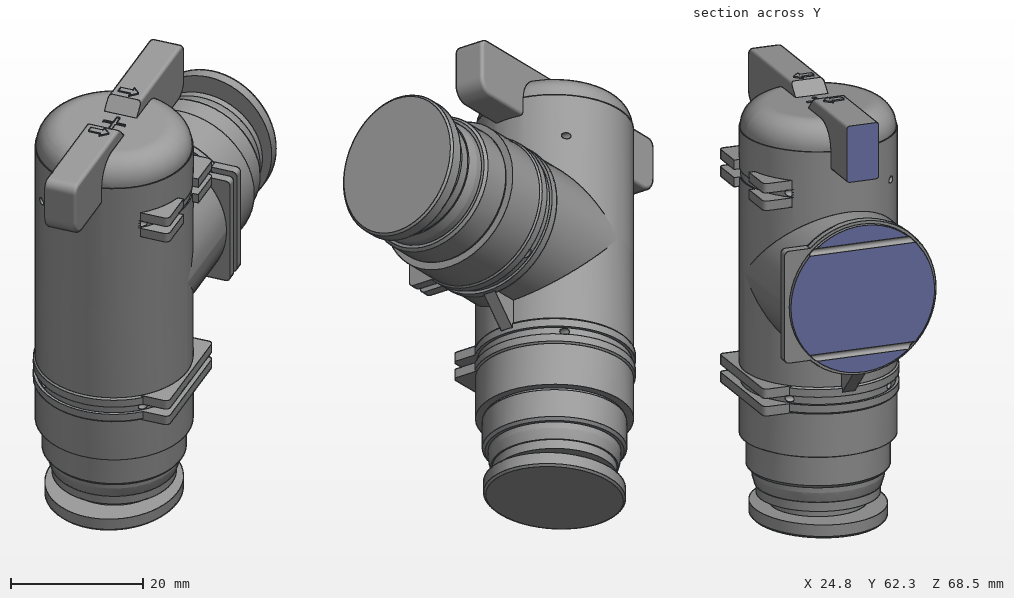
import cadquery as cq
import math


barrel_radius = 12.0
port_reach = 40.3
barrel_from_end = 13.3

button_half_width = 10.35
button_half_length = 11.5
button_thickness = 2.2
button_chamfer = 0.35
neck_radius = 7.5
sleeve_radius = 9.45
sleeve_from_end = 3.7
shoulder_start_radius = 9.65
shoulder_radius = 10.1
shoulder_from_end = 5.2
shoulder_straight_from_end = 6.85
shoulder_bulge = 0.1
collar_radius = 10.95
collar_from_end = 7.9
collar_chamfer_depth = 0.4
collar_chamfer_length = 0.5
collar_relief_depth = 0.2
collar_relief_length = 0.4

seat_distance = 17.95
seat_length = 4.3
groove_width = 1.3
groove_radius = 11.8
ring_radius = 12.25
ring_chamfer = 0.3
tab_reach = 12.55
tab_half_width = 9.0
tab_corner_radius = 0.75
upper_seat_z = 15.0
upper_notch_half_width = 3.0

pin_diameter = 1.0
pin_offset = 8.5
pin_core_radius = 10.3

cap_radius = 11.85
cap_base_z = 21.9
cap_top_z = 26.0
cap_round = 4.05

handle_width = 5.3
handle_half_length = 22.0
handle_bottom_z = 18.9
handle_top_z = 28.0
handle_inner_y = 2.55
handle_top_corner = 1.4
handle_bottom_corner = 2.55
handle_edge_round = 0.55

arrow_height = 0.2
arrow_length = 3.15
arrow_head_length = 1.15
arrow_head_half_width = 1.15
arrow_shaft_half_width = 0.5
arrow_y = 6.0
cross_length = 3.55
cross_width = 0.55
cross_depth = 0.2

web_thickness = 2.05
web_embed = 0.9
web_diagonal = 28.9


def make_port_and_barrel():
    """Barrel with its stepped port at the lower end, reaching up to the origin."""
    relief_end = barrel_from_end - collar_relief_length
    collar_chamfer_radius = collar_radius - collar_chamfer_depth
    shoulder_mid = (
        (shoulder_start_radius + shoulder_radius) / 2 + shoulder_bulge,
        (shoulder_from_end + shoulder_straight_from_end) / 2 - port_reach,
    )

    def at(radius, from_end):
        return (radius, from_end - port_reach)

    profile = (
        cq.Workplane("XZ")
        .moveTo(*at(0, button_thickness / 2))
        .lineTo(*at(neck_radius, button_thickness / 2))
        .lineTo(*at(neck_radius, sleeve_from_end))
        .lineTo(*at(sleeve_radius, sleeve_from_end))
        .lineTo(*at(sleeve_radius, shoulder_from_end))
        .lineTo(*at(shoulder_start_radius, shoulder_from_end))
        .threePointArc(shoulder_mid, at(shoulder_radius, shoulder_straight_from_end))
        .lineTo(*at(shoulder_radius, collar_from_end))
        .lineTo(*at(collar_chamfer_radius, collar_from_end))
        .lineTo(*at(collar_radius, collar_from_end + collar_chamfer_length))
        .lineTo(*at(collar_radius, relief_end))
        .lineTo(*at(collar_radius - collar_relief_depth, barrel_from_end))
        .lineTo(*at(barrel_radius, barrel_from_end))
        .lineTo(barrel_radius, 0)
        .lineTo(0, 0)
        .close()
    )
    barrel = profile.revolve(360, (0, 0, 0), (0, 1, 0))
    button = (
        cq.Workplane("XY", origin=(0, 0, -port_reach))
        .ellipse(button_half_width, button_half_length)
        .extrude(button_thickness)
        .faces("<Z")
        .chamfer(button_chamfer)
    )
    return barrel.union(button)


def make_tabs(middle_z):
    """Pair of flat tabs on the +X side, astride the pin groove."""
    return (
        cq.Workplane("XY", origin=(0, 0, middle_z))
        .box(tab_reach, 2 * tab_half_width, seat_length, centered=(False, True, True))
        .edges("|Z and >X")
        .fillet(tab_corner_radius)
    )


def make_rings():
    """Round flanges either side of the pin groove, chamfered on their outward edges."""
    return (
        cq.Workplane("XY", origin=(0, 0, -seat_distance))
        .circle(ring_radius)
        .extrude(seat_length / 2, both=True)
        .edges("%CIRCLE")
        .chamfer(ring_chamfer)
    )


def make_groove(middle_z):
    """Annular cutter for the pin groove."""
    return (
        cq.Workplane("XY", origin=(0, 0, middle_z))
        .circle(2 * tab_reach)
        .circle(groove_radius)
        .extrude(groove_width / 2, both=True)
    )


def make_pin_holes(middle_z):
    """Pair of cutters along X, right through the barrel."""
    return (
        cq.Workplane("YZ", origin=(0, 0, middle_z))
        .pushPoints([(-pin_offset, 0), (pin_offset, 0)])
        .circle(pin_diameter / 2)
        .extrude(2 * tab_reach, both=True)
    )


def make_blind_pin_holes(middle_z):
    """Pin-hole cutters that stop on the inner core of the main barrel."""
    core = (
        cq.Workplane("XY", origin=(0, 0, middle_z))
        .circle(pin_core_radius)
        .extrude(pin_diameter, both=True)
    )
    return make_pin_holes(middle_z).cut(core)


def make_branch():
    """Barrel, port and grooved clip seat, pointing down; pin holes are cut later."""
    seat = make_rings().union(make_tabs(-seat_distance))
    return make_port_and_barrel().union(seat).cut(make_groove(-seat_distance))


def make_upper_barrel():
    """Main barrel above the origin, with the rounded cap and the notched upper tabs."""
    barrel = cq.Workplane("XY").circle(barrel_radius).extrude(cap_base_z)
    cap = (
        cq.Workplane("XY", origin=(0, 0, cap_base_z))
        .circle(cap_radius)
        .extrude(cap_top_z - cap_base_z)
        .faces(">Z")
        .edges()
        .fillet(cap_round)
    )
    notch = (
        cq.Workplane("XY", origin=(0, 0, upper_seat_z))
        .box(4 * tab_reach, 2 * upper_notch_half_width, 2 * seat_length)
    )
    tabs = make_tabs(upper_seat_z)
    local_groove = make_groove(upper_seat_z).intersect(tabs)
    return barrel.union(cap).union(tabs.cut(notch)).cut(local_groove)


def make_wing():
    """Handle wing on the +Y side, with its sloped end towards the middle of the cap."""
    slope_top_y = handle_inner_y + handle_top_z - cap_top_z
    arc = math.sqrt(0.5)
    top_centre = (handle_half_length - handle_top_corner, handle_top_z - handle_top_corner)
    bottom_centre = (
        handle_half_length - handle_bottom_corner,
        handle_bottom_z + handle_bottom_corner,
    )
    wing = (
        cq.Workplane("YZ")
        .moveTo(handle_inner_y, handle_bottom_z)
        .lineTo(handle_inner_y, cap_top_z)
        .lineTo(slope_top_y, handle_top_z)
        .lineTo(top_centre[0], handle_top_z)
        .threePointArc(
            (top_centre[0] + arc * handle_top_corner, top_centre[1] + arc * handle_top_corner),
            (handle_half_length, top_centre[1]),
        )
        .lineTo(handle_half_length, bottom_centre[1])
        .threePointArc(
            (
                bottom_centre[0] + arc * handle_bottom_corner,
                bottom_centre[1] - arc * handle_bottom_corner,
            ),
            (bottom_centre[0], handle_bottom_z),
        )
        .close()
        .extrude(handle_width / 2, both=True)
    )
    beyond_slope = cq.selectors.BoxSelector(
        (-handle_width, slope_top_y, 0),
        (handle_width, 2 * handle_half_length, 2 * handle_top_z),
    )
    return wing.faces("<X or >X").edges(beyond_slope).fillet(handle_edge_round)


def make_arrow(y):
    """Raised arrow pointing +X on top of a handle wing."""
    tail_x = -arrow_length / 2
    tip_x = arrow_length / 2
    head_x = tip_x - arrow_head_length
    return (
        cq.Workplane("XY", origin=(0, y, handle_top_z - arrow_height))
        .polyline([
            (tail_x, -arrow_shaft_half_width),
            (head_x, -arrow_shaft_half_width),
            (head_x, -arrow_head_half_width),
            (tip_x, 0),
            (head_x, arrow_head_half_width),
            (head_x, arrow_shaft_half_width),
            (tail_x, arrow_shaft_half_width),
        ])
        .close()
        .extrude(2 * arrow_height)
    )


def make_cross():
    """Cutter for the cross mark on the cap."""
    bar = (
        cq.Workplane("XY", origin=(0, 0, cap_top_z))
        .rect(cross_length, cross_width)
        .extrude(cross_depth, both=True)
    )
    return bar.union(bar.rotate((0, 0, 0), (0, 0, 1), 90))


def make_web():
    """Triangular web joining the underside of the side branch to the main barrel."""
    root = barrel_radius - web_embed
    return (
        cq.Workplane("YZ")
        .polyline([
            (root, -root),
            (web_diagonal - root, -root),
            (root, root - web_diagonal),
        ])
        .close()
        .extrude(web_thickness / 2, both=True)
    )


def to_side_branch(shape):
    """Turn a shape built on the downward axis onto the +Y axis."""
    return shape.rotate((0, 0, 0), (1, 0, 0), 90)


branch = make_branch()
wing = make_wing()

result = branch.union(to_side_branch(branch)).union(make_upper_barrel()).union(make_web())
result = result.union(wing).union(wing.mirror("XZ"))
for arrow_side in (-1, 1):
    result = result.union(make_arrow(arrow_side * arrow_y))
result = result.cut(make_cross())
result = result.cut(to_side_branch(make_pin_holes(-seat_distance)))
for seat_z in (-seat_distance, upper_seat_z):
    result = result.cut(make_blind_pin_holes(seat_z))